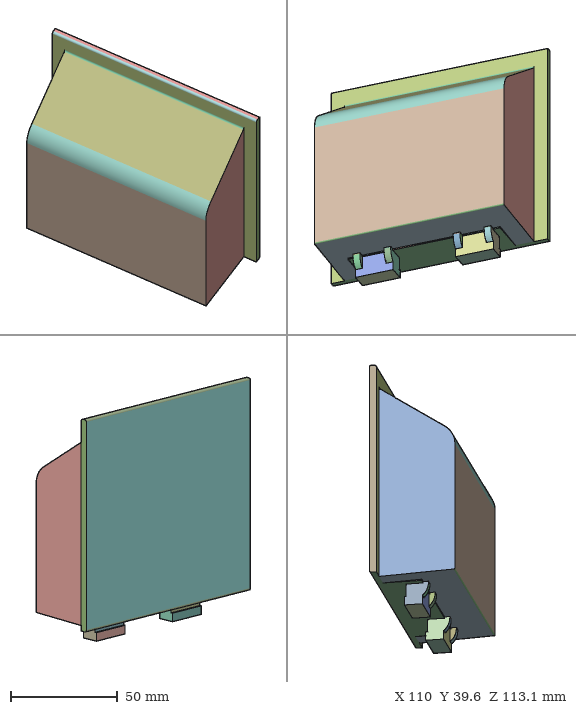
import cadquery as cq
import math

overall_height = 113.1
overall_depth = 39.6
plate_width = 110.0
plate_thickness = 3.4
plate_bottom = 10.3
plate_rounding = 1.0

body_width = 96.6
body_top = 103.7
shoulder_height = 79.7
shoulder_radius = 10.9
body_front_bottom = 11.5
bottom_rounding = 0.6
root_fillet = 1.1

pad_width = 77.6
pad_front = 17.8
pad_height = 1.1

foot_spacing = 51.0
foot_width = 19.2
lug_width = 3.5
foot_front = 18.2
foot_back = 26.8
foot_step = 0.9
block_height = 4.2
lug_front = 15.3
foot_overlap = 2.3

plate_front = overall_depth - plate_thickness


def extrude_profile(profile, width, center_x=0.0):
    """Extrude a closed YZ profile symmetrically about center_x."""
    return profile.extrude(width / 2, both=True).translate((center_x, 0, 0))


def make_plate():
    plate = cq.Workplane("XY").box(
        plate_width, plate_thickness, overall_height - plate_bottom, centered=(True, False, False)
    ).translate((0, plate_front, plate_bottom))
    plate = plate.edges("|X and >Z").fillet(plate_rounding)
    return plate.edges("|X and <Z and >Y").fillet(plate_rounding)


def make_body():
    profile = cq.Workplane("YZ").polyline([
        (plate_front, plate_bottom),
        (0, body_front_bottom),
        (0, shoulder_height),
        (plate_front, body_top),
    ]).close()
    body = extrude_profile(profile, body_width)
    body = body.faces("<Y").edges(">Z").fillet(shoulder_radius)
    return body.faces("<Y").edges("<Z").fillet(bottom_rounding)


def make_pad():
    pad_depth = plate_front - pad_front
    pad = cq.Workplane("XY").box(pad_width, pad_depth, pad_height, centered=(True, False, False))
    return pad.translate((0, pad_front, plate_bottom))


def make_foot(center_x):
    block_profile = cq.Workplane("YZ").polyline([
        (foot_front, 0),
        (foot_back, 0),
        (foot_back, block_height),
        (foot_back - foot_step, block_height),
        (foot_back - foot_step, plate_bottom + foot_overlap),
        (foot_front, plate_bottom + foot_overlap),
    ]).close()
    foot = extrude_profile(block_profile, foot_width, center_x)

    lug_rise = plate_bottom - block_height
    lug_reach = foot_front - lug_front
    lug_radius = (lug_rise**2 + lug_reach**2) / (2 * lug_reach)
    half_angle = math.asin(lug_rise / lug_radius) / 2
    arc_middle = (
        lug_front + lug_radius * (1 - math.cos(half_angle)),
        plate_bottom - lug_radius * math.sin(half_angle),
    )
    for side in (-1, 1):
        lug_profile = (
            cq.Workplane("YZ")
            .moveTo(foot_back - foot_step, block_height)
            .lineTo(foot_front, block_height)
            .threePointArc(arc_middle, (lug_front, plate_bottom))
            .lineTo(lug_front, plate_bottom + foot_overlap)
            .lineTo(foot_back - foot_step, plate_bottom + foot_overlap)
            .close()
        )
        lug_x = center_x + side * (foot_width - lug_width) / 2
        foot = foot.union(extrude_profile(lug_profile, lug_width, lug_x))
    return foot


result = make_plate().union(make_body())

roof_joint = cq.selectors.BoxSelector(
    (-body_width, plate_front - root_fillet, body_top - root_fillet),
    (body_width, plate_front + root_fillet, body_top + root_fillet),
)
result = result.edges("|X").edges(roof_joint).fillet(root_fillet)

result = result.union(make_pad())
for side in (-1, 1):
    result = result.union(make_foot(side * foot_spacing / 2))